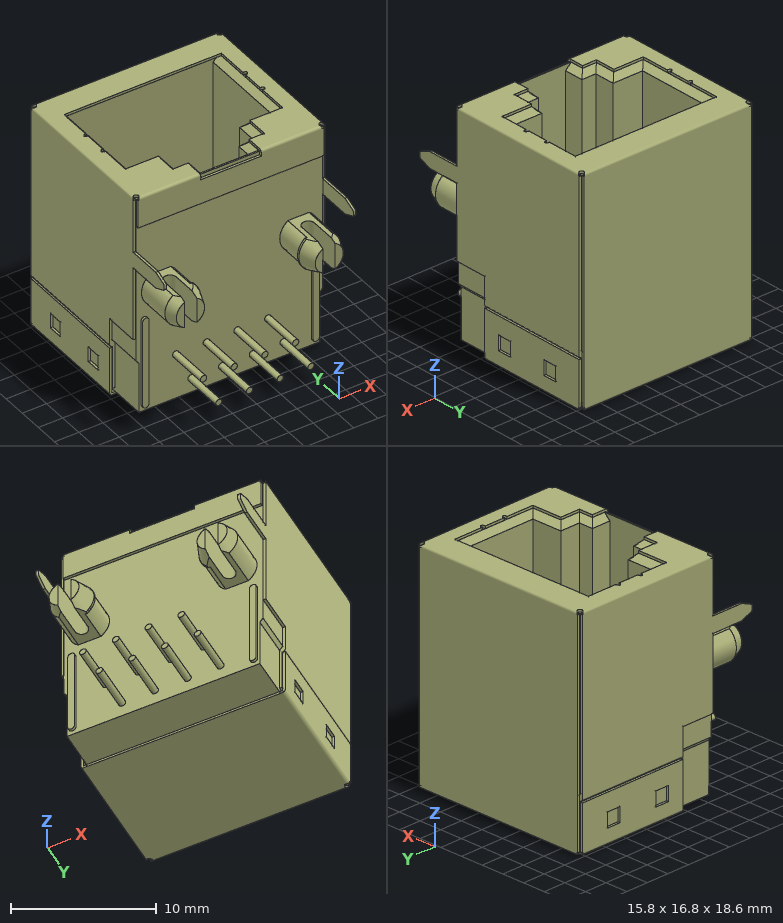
import cadquery as cq


width = 15.8
depth = 13.2
height = 18.6
sheet = 0.2
bend = 0.25
leg_reach = 3.59
half_width = width / 2
inner_half = half_width - sheet
inner_back = depth - sheet
inner_top = height - sheet

socket_halves = (6.45, 3.75, 2.5)
socket_steps = (3.33, 1.53)
lead_in = 0.5
opening_back = 10.94
socket_back = 11.2
socket_front = 0.33
socket_depth = 12.09

flap_bottom = 16.07
flap_notch_bottom = 18.1
cover_front = 3.16
cover_top = 4.05
cutout_top = 6.55
clearance = bend - sheet
tongue_bottom = 0.55
joggle_end = 4.1
joggle_start = joggle_end + bend
tongue_outer = inner_half - clearance
tongue_inner = tongue_outer - sheet
recess_top = 4.69
recess_slope_end = 4.37
recess_depth = clearance + sheet

window_size = 1.23
window_z = 1.93
window_ys = (5.2, 9.91)

relief_radius = 0.14
relief_reach = 0.26
relief_ys = (5.97, 8.11)

leg_z = 13.3
leg_width = 1.34
leg_shoulder = 2.55
leg_tip_width = 0.48
leg_tip_rounding = 0.15

corner_relief_radius = 0.2

peg_x = 5.7
peg_z = 10.29
peg_radius = 1.55
peg_thickness = 2.55
peg_slot = 1.0
peg_slot_end = 0.52
outer_cone_start = 2.7
outer_tip_radius = 1.19
barb_radius = 1.64
barb_start = 2.14
barb_cone_start = 2.3
barb_tip_radius = 1.13

rib_x = 7.01
rib_width = 0.52
rib_bottom = 0.55
rib_top = 8.18

pin_diameter = 0.52
pin_pitch = 1.26
pin_count = 8
pin_reach = 3.25
pin_row_zs = (3.96, 1.43)


def block(x_range, y_range, z_range):
    """A box given by its limits along X, Y and Z."""
    size = [high - low for low, high in (x_range, y_range, z_range)]
    corner = (x_range[0], y_range[0], z_range[0])
    return cq.Workplane("XY").box(*size, centered=False).translate(corner)


def both_sides(shape):
    """The shape together with its mirror image across X = 0."""
    return shape.union(shape.mirror("YZ"))


def profile_along_y(start_y, end_y, outline):
    """Extrude an outline in X and Z, built by `outline`, between two Y positions."""
    plane = cq.Workplane("XZ", origin=(0, end_y, 0))
    return outline(plane).extrude(end_y - start_y)


def socket_points(inset, front, back):
    """Corners of the stepped socket outline, with sides and ledges moved in by `inset`."""
    wide, middle, narrow = [half - inset for half in socket_halves]
    upper, lower = [step + inset for step in socket_steps]
    right = [
        (narrow, front),
        (narrow, lower),
        (middle, lower),
        (middle, upper),
        (wide, upper),
        (wide, back),
    ]
    left = [(-x, y) for x, y in reversed(right)]
    return right + left


def socket_cavity():
    inner = socket_points(lead_in, socket_front, socket_back)
    mouth = socket_points(0, socket_front, socket_back)
    shaft = (
        cq.Workplane("XY", origin=(0, 0, inner_top - socket_depth))
        .polyline(inner).close().extrude(socket_depth)
    )
    chamfer = (
        cq.Workplane("XY", origin=(0, 0, inner_top - lead_in))
        .polyline(inner).close()
        .workplane(offset=lead_in)
        .polyline(mouth).close()
        .loft(ruled=True, combine=True)
    )
    return shaft.union(chamfer)


def tongue_recess():
    """Shallow recess low on the +X side of the housing, with a sloping upper end."""
    face = inner_half - recess_depth
    corners = [
        (inner_half, 0),
        (face, 0),
        (face, recess_slope_end),
        (inner_half, recess_top),
    ]
    return profile_along_y(0, depth, lambda plane: plane.polyline(corners).close())


def turned(profile):
    """Full turn of a (radius, Y) profile around the Y axis."""
    return cq.Workplane("XY").polyline(profile).close().revolve(360, (0, 0), (0, 1))


def snap_peg():
    """Split peg on the +X side; its inner half, towards X = 0, carries the barb."""
    plain = [
        (0, sheet),
        (peg_radius, sheet),
        (peg_radius, -outer_cone_start),
        (outer_tip_radius, -leg_reach),
        (0, -leg_reach),
    ]
    barbed = [
        (0, sheet),
        (peg_radius, sheet),
        (peg_radius, -barb_start),
        (barb_radius, -barb_start),
        (barb_radius, -barb_cone_start),
        (barb_tip_radius, -leg_reach),
        (0, -leg_reach),
    ]
    length = (-leg_reach, sheet)
    flats = (-peg_thickness / 2, peg_thickness / 2)
    plain_half = turned(plain).intersect(block((0, barb_radius), length, flats))
    barbed_half = turned(barbed).intersect(block((-barb_radius, 0), length, flats))
    slot_center = -peg_slot_end - peg_slot / 2
    slot_end = (
        cq.Workplane("XY", origin=(0, slot_center, -peg_thickness / 2))
        .circle(peg_slot / 2).extrude(peg_thickness)
    )
    slot = block((-peg_slot / 2, peg_slot / 2), (-leg_reach, slot_center), flats).union(slot_end)
    peg = plain_half.union(barbed_half).cut(slot)
    return peg.translate((peg_x, 0, peg_z))


def standoff_rib():
    center_z = (rib_bottom + rib_top) / 2
    return (
        cq.Workplane("XZ", origin=(rib_x, sheet, center_z))
        .slot2D(rib_top - rib_bottom, rib_width, 90)
        .extrude(sheet)
    )


def make_housing():
    body = block((-inner_half, inner_half), (sheet, inner_back), (sheet, inner_top))
    return (
        body.cut(both_sides(tongue_recess()))
        .cut(socket_cavity())
        .union(both_sides(snap_peg()))
        .union(both_sides(standoff_rib()))
    )


def folded_shell():
    """Rounded hollow box, open along its upright corners where the walls are not joined."""
    solid = (
        block((-half_width, half_width), (0, depth), (0, height))
        .edges(">Z or (<Z and (not <Y))")
        .fillet(bend)
    )
    shell = solid.cut(block((-inner_half, inner_half), (sheet, inner_back), (sheet, inner_top)))
    corner_x = (half_width - bend, half_width)
    for corner_y in ((0, bend), (depth - bend, depth)):
        shell = shell.cut(both_sides(block(corner_x, corner_y, (0, height))))
    return shell


def corner_reliefs():
    """Round cuts through the bends at the top corners and at the rear bottom corners."""
    corner_x = half_width - bend
    rear_y = depth - bend

    def cuts(bottom_z, corner_ys):
        return (
            cq.Workplane("XY", origin=(0, 0, bottom_z))
            .pushPoints([(side * corner_x, y) for side in (-1, 1) for y in corner_ys])
            .circle(corner_relief_radius)
            .extrude(bend)
        )

    return cuts(height - bend, (bend, rear_y)).union(cuts(0, (rear_y,)))


def front_clearance():
    """What is missing from the front: everything below the flap and ahead of the covers."""
    across = (-half_width, half_width)
    return block(across, (0, bend), (0, flap_bottom)).union(
        block(across, (0, cover_front), (0, cutout_top))
    )


def socket_opening():
    outline = socket_points(0, 0, opening_back)
    opening = (
        cq.Workplane("XY", origin=(0, 0, flap_notch_bottom))
        .polyline(outline).close().extrude(height - flap_notch_bottom)
    )
    reach = socket_halves[0] + relief_reach
    reliefs = (
        cq.Workplane("XY", origin=(0, 0, inner_top))
        .pushPoints([(0, y) for y in relief_ys])
        .slot2D(2 * reach, 2 * relief_radius)
        .extrude(sheet)
    )
    return opening.union(reliefs)


def joggled_tongue():
    """Lower end of the +X side wall, stepped inward to pass behind the side cover."""
    arc_offset = bend * (1 - 0.5 ** 0.5)
    arc_middle = (half_width - arc_offset, joggle_end + arc_offset)

    def outline(plane):
        return (
            plane.moveTo(half_width, recess_top)
            .lineTo(half_width, joggle_start)
            .threePointArc(arc_middle, (tongue_outer, joggle_end))
            .lineTo(tongue_outer, tongue_bottom)
            .lineTo(tongue_inner, tongue_bottom)
            .lineTo(tongue_inner, recess_slope_end)
            .lineTo(inner_half, recess_top)
            .close()
        )

    return profile_along_y(cover_front, depth - bend, outline)


def latch_windows():
    """Square holes through the +X side cover."""
    return (
        cq.Workplane("YZ", origin=(inner_half, 0, 0))
        .pushPoints([(y, window_z) for y in window_ys])
        .rect(window_size, window_size)
        .extrude(sheet)
    )


def board_leg():
    """Pointed leg continuing the +X side wall into the board."""
    half = leg_width / 2
    tip = leg_tip_width / 2
    upper = [(bend, half), (-leg_shoulder, half), (-leg_reach, tip)]
    lower = [(y, -z) for y, z in reversed(upper)]
    leg = (
        cq.Workplane("YZ", origin=(inner_half, 0, leg_z))
        .polyline(upper + lower).close().extrude(sheet)
    )
    return leg.faces("<Y").edges("|X").fillet(leg_tip_rounding)


def make_shield():
    wall = (inner_half, half_width)
    wall_gap = block(wall, (cover_front, depth - bend), (cover_top, recess_top))
    return (
        folded_shell()
        .cut(corner_reliefs())
        .cut(front_clearance())
        .cut(socket_opening())
        .cut(both_sides(wall_gap))
        .union(both_sides(joggled_tongue()))
        .cut(both_sides(latch_windows()))
        .union(both_sides(board_leg()))
    )


def make_pin(x, z):
    """Round pin standing on the board side of the housing."""
    return (
        cq.Workplane("XZ", origin=(x, sheet, z))
        .circle(pin_diameter / 2)
        .extrude(pin_reach + sheet)
    )


housing = make_housing()
shield = make_shield()
pins = []
for index in range(pin_count):
    pin_x = (index - (pin_count - 1) / 2) * pin_pitch
    pin_z = pin_row_zs[index % len(pin_row_zs)]
    pins.append(make_pin(pin_x, pin_z))

result = cq.Compound.makeCompound([
    housing.solids().val(),
    shield.solids().val(),
    *[pin.val() for pin in pins],
])